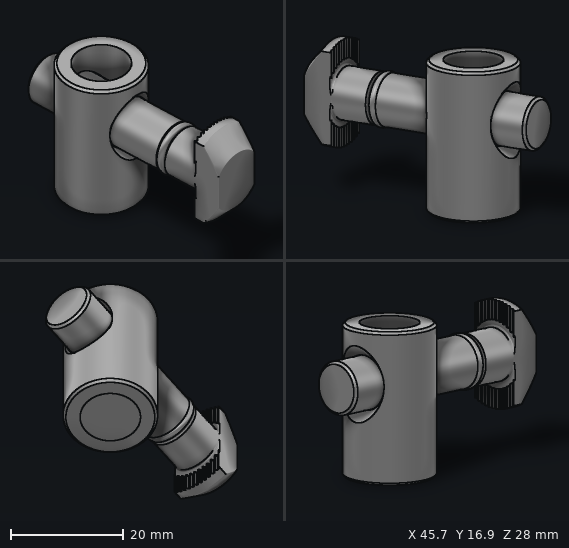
import cadquery as cq
import math


sleeve_diameter = 16.85
sleeve_length = 28.0
sleeve_top = 10.0
sleeve_bottom = sleeve_top - sleeve_length
bore_diameter = 10.8
cross_hole_diameter = 10.0
mouth_diameter = 14.0
edge_chamfer = 0.5

bolt_length = 45.7
bolt_start = -13.5
bolt_end = bolt_start + bolt_length
shank_diameter = 9.83
shank_radius = shank_diameter / 2

ring_section_radius = 0.755
groove_start = 17.35
groove_width = 2.05
groove_radius = 3.65
groove_fillet = 0.25
ring_centre_x = groove_start + ring_section_radius
ring_centre_radius = groove_radius + ring_section_radius

head_radius = 9.9
head_length = 5.75
head_face = bolt_end - head_length
cone_length = 3.65
cone_start = bolt_end - cone_length
cone_end_radius = 6.0
head_fillet = 0.15
head_width = shank_diameter

groove_count = 11
serration_pitch = head_width / groove_count
serration_depth = 0.3
tooth_tip_width = 0.25
groove_floor_width = 0.3
relief_radius = 6.25
relief_floor = head_face + serration_depth
neck_fillet = 0.4

screw_tip_slope = 30
screw_tip_radius = 2.7


def cylinder_along_x(radius, start, length):
    return cq.Workplane("YZ").workplane(offset=start).circle(radius).extrude(length)


def make_sleeve():
    outside = (
        cq.Workplane("XY").workplane(offset=sleeve_bottom)
        .circle(sleeve_diameter / 2).extrude(sleeve_length)
        .edges().chamfer(edge_chamfer)
    )
    bore = (
        cq.Workplane("XY").workplane(offset=sleeve_bottom)
        .circle(bore_diameter / 2).extrude(sleeve_length)
    )
    cross_hole = cylinder_along_x(cross_hole_diameter / 2, -sleeve_diameter, 2 * sleeve_diameter)
    return outside.cut(bore).cut(cross_hole).cut(make_countersinks()).solids()


def make_countersinks():
    """Cones that open both mouths of the cross hole."""
    outer_x = sleeve_diameter / 2
    hole_radius = cross_hole_diameter / 2
    mouth_radius = mouth_diameter / 2
    inner_x = outer_x - (mouth_radius - hole_radius)
    cone = (
        cq.Workplane("XY")
        .moveTo(inner_x, 0)
        .lineTo(inner_x, hole_radius)
        .lineTo(outer_x, mouth_radius)
        .lineTo(outer_x, 0)
        .close()
        .revolve(360, (0, 0, 0), (1, 0, 0))
    )
    return cone.union(cone.mirror("YZ"))


def make_head():
    head = (
        cq.Workplane("XY")
        .moveTo(head_face, 0)
        .lineTo(head_face, head_radius)
        .lineTo(cone_start, head_radius)
        .lineTo(bolt_end, cone_end_radius)
        .lineTo(bolt_end, 0)
        .close()
        .revolve(360, (0, 0, 0), (1, 0, 0))
    )
    relief = cylinder_along_x(relief_radius, head_face, serration_depth)
    return head.cut(relief).cut(make_serration_grooves())


def make_serration_grooves():
    """Trapezoidal grooves running along Z and spaced across Y."""
    half_opening = (serration_pitch - tooth_tip_width) / 2
    half_floor = groove_floor_width / 2
    first_y = -(groove_count - 1) / 2 * serration_pitch
    return (
        cq.Workplane("XY").workplane(offset=-head_radius)
        .pushPoints([(head_face, first_y + i * serration_pitch) for i in range(groove_count)])
        .eachpoint(
            lambda place: cq.Workplane("XY")
            .polyline([
                (0, -half_opening),
                (serration_depth, -half_floor),
                (serration_depth, half_floor),
                (0, half_opening),
            ])
            .close().extrude(2 * head_radius).val().moved(place)
        )
    )


def make_shank():
    """Turned shank with its end chamfer, O-ring groove and the fillet that flares into the head."""
    groove_end = groove_start + groove_width
    arc_offset = neck_fillet * (1 - 0.5 ** 0.5)
    return (
        cq.Workplane("XY")
        .moveTo(bolt_start, 0)
        .lineTo(bolt_start, shank_radius - edge_chamfer)
        .lineTo(bolt_start + edge_chamfer, shank_radius)
        .lineTo(groove_start, shank_radius)
        .lineTo(groove_start, groove_radius + groove_fillet)
        .radiusArc((groove_start + groove_fillet, groove_radius), -groove_fillet)
        .lineTo(groove_end - groove_fillet, groove_radius)
        .radiusArc((groove_end, groove_radius + groove_fillet), -groove_fillet)
        .lineTo(groove_end, shank_radius)
        .lineTo(relief_floor - neck_fillet, shank_radius)
        .threePointArc(
            (relief_floor - arc_offset, shank_radius + arc_offset),
            (relief_floor, shank_radius + neck_fillet),
        )
        .lineTo(relief_floor, 0)
        .close()
        .revolve(360, (0, 0, 0), (1, 0, 0))
    )


def make_bolt():
    between_flats = (
        cq.Workplane("XY")
        .box(bolt_length, head_width, 2 * head_radius)
        .translate((bolt_start + bolt_length / 2, 0, 0))
    )
    cone_edges = cq.selectors.BoxSelector(
        (cone_start - head_fillet, -head_width, -2 * head_radius),
        (bolt_end + head_fillet, head_width, 2 * head_radius),
        boundingbox=True,
    )
    bolt = make_shank().union(make_head()).intersect(between_flats)
    return bolt.edges(cone_edges).fillet(head_fillet).solids()


def make_o_ring():
    return (
        cq.Workplane("XY")
        .center(ring_centre_x, ring_centre_radius)
        .circle(ring_section_radius)
        .revolve(360, (0, -ring_centre_radius, 0), (1, -ring_centre_radius, 0))
    )


def make_set_screw():
    """Plain screw in the lower bore, its flat cone tip resting against the underside of the shank."""
    screw_radius = bore_diameter / 2
    shoulder = -shank_radius - (screw_radius - screw_tip_radius) * math.tan(math.radians(screw_tip_slope))
    return (
        cq.Workplane("XZ")
        .moveTo(0, sleeve_bottom)
        .lineTo(screw_radius, sleeve_bottom)
        .lineTo(screw_radius, shoulder)
        .lineTo(screw_tip_radius, -shank_radius)
        .lineTo(0, -shank_radius)
        .close()
        .revolve(360, (0, 0, 0), (0, 1, 0))
    )


sleeve = make_sleeve()
bolt = make_bolt()
o_ring = make_o_ring()
set_screw = make_set_screw()

result = cq.Compound.makeCompound([sleeve.val(), bolt.val(), o_ring.val(), set_screw.val()])